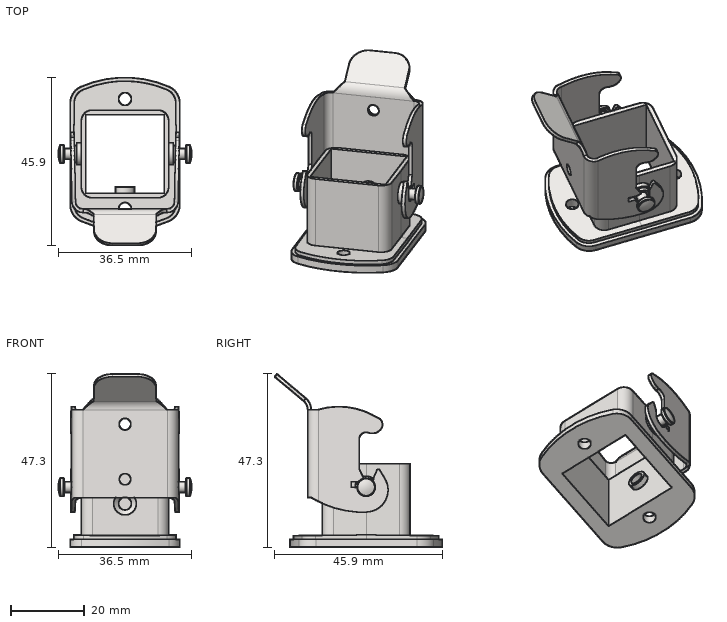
import math

import cadquery as cq


plate_half_width = 15.0
plate_half_length = 20.9
plate_end_radius = 30.0
plate_corner_radius = 5.0
plate_thickness = 2.1
step_inset = 1.0
ridge_height = 3.35
screw_hole_dia = 3.4
screw_hole_offset = 15.0

draft_angle = math.radians(0.5)
housing_half_size = 12.0
housing_top = 22.8
housing_corner_radius = 3.0
opening_size = 21.4

front_hole_height = 11.9
front_hole_dia = 3.5
front_sink_dia = 6.2
boss_dia = 5.2
boss_length = 1.7

pivot_height = 16.4
pad_radius = 3.0
pad_end = 13.2
collar_start_radius = 2.4
collar_end_radius = 2.1
collar_end = 14.0
shaft_radius = 1.5
head_radius = 2.5
head_start = 16.65
dome_start = 17.8
head_bevel = 0.15
pin_end = 18.25

sheet = 1.0
lever_front = -16.0
lever_front_half_width = 14.45
lever_splay = math.radians(1.1)
lever_bend_radius = 3.0
lever_back = 6.5
lever_top = 37.6
lever_bottom = 13.55
pivot_clearance_radius = 2.0
notch_depth = 4.05
notch_bottom = 16.35
notch_top = 17.85
lever_hole_dia = 3.1
lever_hole_heights = (18.55, 33.6)

handle_bend_angle = math.radians(50)
handle_bend_radius = 3.0
handle_length = 10.36
handle_half_width = 8.5
handle_corner_radius = 5.0
neck_half_width = lever_front_half_width - lever_bend_radius
neck_sections = 5


def drafted_outline(half_width, half_length):
    """Closed outline whose sides lean inward on both sides of the parting line."""
    end_half_width = half_width - half_length * math.tan(draft_angle)
    return cq.Workplane("XY").polyline(
        [
            (half_width, 0),
            (end_half_width, half_length),
            (-end_half_width, half_length),
            (-half_width, 0),
            (-end_half_width, -half_length),
            (end_half_width, -half_length),
        ]
    ).close()


def bow_ends(plate, inset, height):
    """Trim a plate to the bowed end curves moved inward by inset, and round its corners."""
    end_radius = plate_end_radius - inset
    half_length = plate_half_length - inset
    for side in (1, -1):
        end_disc = cq.Workplane("XY").center(0, side * (half_length - end_radius)).circle(end_radius)
        plate = plate.intersect(end_disc.extrude(height))
    corners = plate.edges("|Z").edges(">Y or <Y")
    return corners.fillet(plate_corner_radius - inset)


def make_base():
    """Base plate with a raised step whose top falls gently from the parting line to both ends."""
    step_half_length = plate_half_length - step_inset
    step_half_width = plate_half_width - step_inset
    eaves_height = ridge_height - step_half_length * math.tan(draft_angle)
    roof = (
        cq.Workplane("YZ")
        .polyline(
            [
                (-step_half_length, 0),
                (step_half_length, 0),
                (step_half_length, eaves_height),
                (0, ridge_height),
                (-step_half_length, eaves_height),
            ]
        )
        .close()
        .extrude(step_half_width, both=True)
    )
    step = drafted_outline(step_half_width, step_half_length).extrude(ridge_height)
    step = bow_ends(step, step_inset, ridge_height).intersect(roof)
    plate = cq.Workplane("XY").rect(2 * plate_half_width, 2 * plate_half_length).extrude(plate_thickness)
    return bow_ends(plate, 0, plate_thickness).union(step)


def make_housing():
    """Outer block of the housing, with rounded upright corners."""
    walls = drafted_outline(housing_half_size, housing_half_size).extrude(housing_top)
    corners = walls.edges("|Z and (>Y or <Y)")
    return corners.fillet(housing_corner_radius)


def front_wall_cylinder(dia, start, length):
    """Cylinder along Y on the axis of the front wall hole, running inward from y = start."""
    plane = cq.Workplane("XZ", origin=(0, start, front_hole_height))
    return plane.circle(dia / 2).extrude(-length)


def make_body():
    """Base and housing with the through opening, screw holes, boss and countersunk hole."""
    opening = cq.Workplane("XY").rect(opening_size, opening_size).extrude(housing_top)
    screw_holes = (
        cq.Workplane("XY")
        .pushPoints([(0, screw_hole_offset), (0, -screw_hole_offset)])
        .circle(screw_hole_dia / 2)
        .extrude(ridge_height)
    )
    wall = housing_half_size - opening_size / 2
    boss = front_wall_cylinder(boss_dia, -housing_half_size + wall / 2, wall / 2 + boss_length)
    hole = front_wall_cylinder(front_hole_dia, -housing_half_size, wall + boss_length)
    countersink = cq.Workplane(
        cq.Solid.makeCone(
            front_sink_dia / 2,
            front_hole_dia / 2,
            wall,
            pnt=cq.Vector(0, -housing_half_size, front_hole_height),
            dir=cq.Vector(0, 1, 0),
        )
    )
    body = make_base().union(make_housing()).cut(opening).cut(screw_holes)
    return body.union(boss).cut(hole).cut(countersink)


def make_pin():
    """Pin on the +X side: pad, tapered collar, shaft and domed head, revolved about the pin axis."""
    pad_start = opening_size / 2
    dome_height = pin_end - dome_start
    face_radius = head_radius - head_bevel
    dome_radius = (face_radius**2 + dome_height**2) / (2 * dome_height)
    mid_radius = face_radius / 2
    mid_dome = pin_end - dome_radius + math.sqrt(dome_radius**2 - mid_radius**2)
    return (
        cq.Workplane("XY", origin=(0, 0, pivot_height))
        .moveTo(pad_start, 0)
        .lineTo(pad_start, pad_radius)
        .lineTo(pad_end, pad_radius)
        .lineTo(pad_end, collar_start_radius)
        .lineTo(collar_end, collar_end_radius)
        .lineTo(collar_end, shaft_radius)
        .lineTo(head_start - head_bevel, shaft_radius)
        .lineTo(head_start, shaft_radius + head_bevel)
        .lineTo(head_start, face_radius)
        .lineTo(head_start + head_bevel, head_radius)
        .lineTo(dome_start - head_bevel, head_radius)
        .lineTo(dome_start, face_radius)
        .threePointArc((mid_dome, mid_radius), (pin_end, 0))
        .close()
        .revolve(360, (0, 0, 0), (1, 0, 0))
    )


def channel_block(offset, bend_radius):
    """Solid inside the lever channel: its plan outline moved inward by offset, rounded in front."""
    front = lever_front + offset
    slope = math.tan(lever_splay)
    front_half_width = lever_front_half_width + offset * slope - offset / math.cos(lever_splay)
    back_half_width = front_half_width + (lever_back - front) * slope
    block = cq.Workplane("XY").polyline(
        [
            (-front_half_width, front),
            (front_half_width, front),
            (back_half_width, lever_back),
            (-back_half_width, lever_back),
        ]
    ).close().extrude(2 * lever_top)
    return block.edges("|Z and <Y").fillet(bend_radius)


def side_profile():
    """Lever outline seen along X: locking hook on top, open pivot hook below."""
    bend_line = lever_front + lever_bend_radius
    crown = (-6.7, 38.4)
    crown_end = (1.6, 36.2)
    nose_top = (3.7, 35.1)
    nose_tip = (4.5, 33.55)
    nose_bottom = (3.6, 31.8)
    nose_mid_underside = (2.8, 31.25)
    underside_start = (1.9, 31.1)
    underside_end = (0.9, 31.1)
    throat = (-0.6, 31.25)
    clasp_edge = -1.85
    clasp_top = 29.7
    clasp_bottom = 21.25
    mouth_front = (-0.4, 18.4)
    mouth_rear_height = 18.8
    finger_front = (2.95, 21.05)
    finger_tip = (3.35, 21.3)
    finger_rear = (3.75, 21.0)
    belly_start = (5.1, 18.75)
    belly_mid = (5.35, 12.9)
    belly_bottom = 9.6
    belly_flat_end = -2.5
    sweep_mid = (-8.75, 10.75)
    return (
        cq.Workplane("YZ")
        .moveTo(lever_front, lever_top)
        .lineTo(bend_line, lever_top)
        .threePointArc(crown, crown_end)
        .lineTo(*nose_top)
        .threePointArc(nose_tip, nose_bottom)
        .threePointArc(nose_mid_underside, underside_start)
        .lineTo(*underside_end)
        .threePointArc(throat, (clasp_edge, clasp_top))
        .lineTo(clasp_edge, clasp_bottom)
        .lineTo(*mouth_front)
        .lineTo(0, pivot_height)
        .lineTo(pivot_clearance_radius, pivot_height)
        .lineTo(pivot_clearance_radius, mouth_rear_height)
        .lineTo(*finger_front)
        .threePointArc(finger_tip, finger_rear)
        .lineTo(*belly_start)
        .threePointArc(belly_mid, (0, belly_bottom))
        .lineTo(belly_flat_end, belly_bottom)
        .threePointArc(sweep_mid, (lever_front + sheet, lever_bottom))
        .lineTo(lever_front, lever_bottom)
        .close()
    )


def make_lever():
    """Sheet channel cut to the hook profile; the pivot hooks seat on the pin collars."""
    outer_block = channel_block(0, lever_bend_radius)
    inner_block = channel_block(sheet, lever_bend_radius - sheet)
    reach = 2 * lever_front_half_width
    lever = outer_block.cut(inner_block).intersect(side_profile().extrude(reach, both=True))
    pivot_clearance = cq.Workplane("YZ").center(0, pivot_height).circle(pivot_clearance_radius)
    notch = (
        cq.Workplane("YZ")
        .center(-notch_depth / 2, (notch_bottom + notch_top) / 2)
        .rect(notch_depth, notch_top - notch_bottom)
    )
    for cutout in (pivot_clearance, notch):
        lever = lever.cut(cutout.extrude(reach, both=True))
    for height in lever_hole_heights:
        plane = cq.Workplane("XZ", origin=(0, lever_front, height))
        lever = lever.cut(plane.circle(lever_hole_dia / 2).extrude(-sheet))
    return lever


def bend_section(angle):
    """Plane across the handle bend: local x along X, local y pointing away from the bend centre."""
    radius = handle_bend_radius + sheet / 2
    y = lever_front - handle_bend_radius + radius * math.cos(angle)
    z = lever_top + radius * math.sin(angle)
    along = (0, -math.sin(angle), math.cos(angle))
    return cq.Plane(origin=(0, y, z), xDir=(-1, 0, 0), normal=along)


def make_handle():
    """Curved neck that narrows evenly along the bend, then a flat tab with rounded corners."""
    neck_wires = []
    for index in range(neck_sections):
        part_way = index / (neck_sections - 1)
        half_width = neck_half_width + part_way * (handle_half_width - neck_half_width)
        plane = bend_section(part_way * handle_bend_angle)
        neck_wires.append(cq.Workplane(plane).rect(2 * half_width, sheet).val())
    neck = cq.Workplane(cq.Solid.makeLoft(neck_wires))
    tab_plane = bend_section(handle_bend_angle)
    tab = cq.Workplane(tab_plane).rect(2 * handle_half_width, sheet).extrude(handle_length)
    tab_end = tab.faces(cq.selectors.DirectionMinMaxSelector(tab_plane.zDir, True))
    return neck.union(tab_end.edges("not |X").fillet(handle_corner_radius))


pin = make_pin()
result = make_body().union(pin).union(pin.mirror("YZ")).union(make_lever()).union(make_handle())